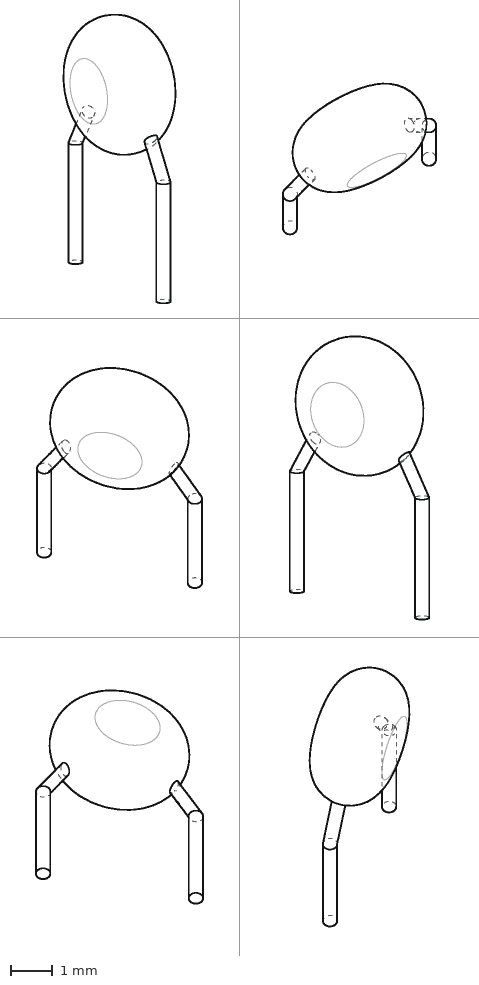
import cadquery as cq
import math

total_height = 6.67
disc_diameter = 3.4
disc_thickness = 1.8
lead_diameter = 0.35
lead_span = 4.1
leg_height = 3.01
bend_angle = 60.0
neck_rise = 1.47

rim_radius = disc_thickness / 2
flat_radius = disc_diameter / 2 - rim_radius
disc_centre_z = total_height - disc_diameter / 2
leg_x = (lead_span - lead_diameter) / 2
neck_run = neck_rise / math.tan(math.radians(bend_angle))


def make_disc():
    """Disc with flat faces and a fully rounded rim, its axis along Y."""
    half_thickness = disc_thickness / 2
    profile = (
        cq.Workplane("XY")
        .moveTo(0, -half_thickness)
        .lineTo(flat_radius, -half_thickness)
        .threePointArc((flat_radius + rim_radius, 0), (flat_radius, half_thickness))
        .lineTo(0, half_thickness)
        .close()
    )
    return profile.revolve(360, (0, 0), (0, 1)).translate((0, 0, disc_centre_z))


def make_leg(side):
    """Straight vertical end of one lead; side is -1 or 1."""
    return cq.Workplane("XY").center(side * leg_x, 0).circle(lead_diameter / 2).extrude(leg_height)


def make_neck(side, disc):
    """Slanted upper lead with round level sections, trimmed where it meets the disc."""
    neck = (
        cq.Workplane("XY", origin=(side * leg_x, 0, leg_height))
        .circle(lead_diameter / 2)
        .workplane(offset=neck_rise)
        .center(-side * neck_run, 0)
        .circle(lead_diameter / 2)
        .loft(ruled=True)
    )
    return neck.cut(disc)


disc = make_disc()
legs = []
necks = []
for side in (-1, 1):
    legs.append(make_leg(side).val())
    necks.extend(make_neck(side, disc).solids().vals())

result = cq.Compound.makeCompound([disc.val(), *legs, *necks])